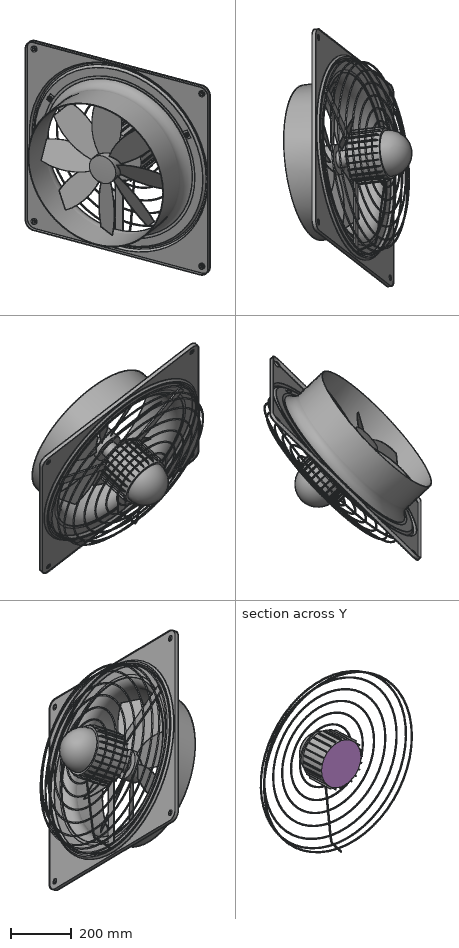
import cadquery as cq
import math


plate_side = 700.0
plate_depth = 14.0
plate_corner_radius = 31.5
sheet = 2.0
floor_front = plate_depth - sheet

bead_front_outer = 341.5
bead_front_inner = 322.0
bead_crest_outer = 335.0
bead_crest_inner = 330.0
bead_height = 8.5

duct_radius = 259.0
duct_wall = 3.0
duct_front = -137.0
bell_start = -33.0
bell_mid_radius = 269.0
bell_end_radius = 283.0
flange_radius = 292.5
flange_front = floor_front - sheet

corner_offset = 320.5
corner_boss_radius = 10.0
corner_boss_height = 7.0
corner_hole_radius = 5.0
screw_circle_radius = 302.5
screw_radius = 8.0
screw_height = 5.0
screw_socket_radius = 3.5

motor_radius = 85.0
motor_front = 14.0
motor_back = 134.0
dome_radius = 77.0
fin_count = 24
fin_radius = 91.0
fin_width = 3.0
fin_back = 130.0
fin_chamfer = 8.5

hub_radius = 50.5
hub_rim = -92.5
hub_crown = 3.0
hub_back = -43.5
shaft_radius = 28.0
blade_count = 8
blade_center = -66.0
blade_pitch = 29.0
blade_thickness = 2.0
blade_tip_radius = 240.0
blade_tip_width = 64.5
blade_mid_radius = 144.0
blade_mid_width = 86.0
blade_root_radius = 45.0
blade_root_width = 43.5

strut_angles = (30, 150, 270)
strut_width = 29.0
strut_thickness = 5.5
strut_reach = screw_circle_radius + screw_radius

wire_diameter = 4.0
side_rings = [(323.5, 29.5), (316.0, 54.0), (310.0, 78.0)]
face_ring_count = 5
face_ring_first = (283.0, 93.0)
face_ring_last = (110.0, 117.5)
rib_angle = 270
rib_bend = (306.5, 87.0)
rib_width = 4.0
rib_thickness = 3.0

AXIS_START = (0, 0, 0)
AXIS_END = (0, 1, 0)


def revolve(profile):
    """Turn a profile drawn as (radius, y) about the fan axis."""
    return profile.close().revolve(360, AXIS_START, AXIS_END)


def cylinder(radius, y_start, y_end, x=0.0, z=0.0):
    """Cylinder parallel to Y."""
    disc = cq.Workplane("XZ", origin=(x, y_start, z)).circle(radius)
    return disc.extrude(y_start - y_end)


def around_axis(shape, angle):
    return shape.rotate(AXIS_START, AXIS_END, -angle)


def polar(radius, angle):
    turn = math.radians(angle)
    return radius * math.cos(turn), radius * math.sin(turn)


def bead_solid(base):
    """Trapezoidal ring whose wide side lies at y = base and whose crest points backward."""
    crest = base + bead_height
    return revolve(
        cq.Workplane("XY")
        .moveTo(bead_front_inner, base)
        .lineTo(bead_crest_inner, crest)
        .lineTo(bead_crest_outer, crest)
        .lineTo(bead_front_outer, base)
    )


def make_plate():
    tray = cq.Workplane("XZ").rect(plate_side, plate_side).extrude(-plate_depth)
    tray = tray.edges("|Y").fillet(plate_corner_radius)
    tray = tray.faces("<Y").shell(-sheet)
    tray = tray.cut(cylinder(bell_end_radius, floor_front, plate_depth))
    return tray.union(bead_solid(plate_depth)).cut(bead_solid(floor_front))


def make_duct():
    inner = duct_radius - duct_wall
    return revolve(
        cq.Workplane("XY")
        .moveTo(duct_radius, duct_front)
        .lineTo(duct_radius, bell_start)
        .threePointArc((bell_mid_radius, 0), (bell_end_radius, flange_front))
        .lineTo(flange_radius, flange_front)
        .lineTo(flange_radius, floor_front)
        .lineTo(bell_end_radius, floor_front)
        .threePointArc((bell_mid_radius - duct_wall, sheet), (inner, bell_start))
        .lineTo(inner, duct_front)
    )


def make_motor():
    motor = cylinder(motor_radius, motor_front, motor_back)
    dome_mid = dome_radius * math.sqrt(0.5)
    dome = revolve(
        cq.Workplane("XY")
        .moveTo(0, motor_back)
        .lineTo(dome_radius, motor_back)
        .threePointArc((dome_mid, motor_back + dome_mid), (0, motor_back + dome_radius))
    )
    motor = motor.union(dome)
    fin = (
        cq.Workplane("XY")
        .moveTo(dome_radius, motor_front)
        .lineTo(fin_radius, motor_front)
        .lineTo(fin_radius, fin_back - fin_chamfer)
        .lineTo(fin_radius - fin_chamfer, fin_back)
        .lineTo(dome_radius, fin_back)
        .close()
        .extrude(fin_width / 2, both=True)
    )
    for i in range(fin_count):
        motor = motor.union(around_axis(fin, i * 360 / fin_count))
    return motor


def make_impeller():
    dome_sphere = (hub_radius**2 + hub_crown**2) / (2 * hub_crown)
    half = hub_radius / 2
    half_y = hub_rim - hub_crown + dome_sphere - math.sqrt(dome_sphere**2 - half**2)
    impeller = revolve(
        cq.Workplane("XY")
        .moveTo(0, hub_back)
        .lineTo(hub_radius, hub_back)
        .lineTo(hub_radius, hub_rim)
        .threePointArc((half, half_y), (0, hub_rim - hub_crown))
    )
    impeller = impeller.union(cylinder(shaft_radius, hub_back, motor_front))
    widen = 1 / math.cos(math.radians(blade_pitch))
    tip = blade_tip_width * widen / 2
    mid = blade_mid_width * widen / 2
    root = blade_root_width * widen / 2
    blade = (
        cq.Workplane("XZ")
        .moveTo(-root, blade_root_radius)
        .threePointArc((-mid, blade_mid_radius), (-tip, blade_tip_radius))
        .lineTo(tip, blade_tip_radius)
        .threePointArc((mid, blade_mid_radius), (root, blade_root_radius))
        .close()
        .extrude(blade_thickness / 2, both=True)
        .rotate((0, 0, 0), (0, 0, 1), blade_pitch)
        .translate((0, blade_center, 0))
    )
    for i in range(blade_count):
        impeller = impeller.union(around_axis(blade, i * 360 / blade_count))
    return impeller


def make_ring(radius, y):
    torus = cq.Solid.makeTorus(radius, wire_diameter / 2, cq.Vector(0, y, 0), cq.Vector(0, 1, 0))
    return cq.Workplane("XY").add(torus)


def face_ring(i):
    """Radius and y of face ring i, evenly spaced from rim to motor."""
    share = i / (face_ring_count - 1)
    radius = face_ring_first[0] + share * (face_ring_last[0] - face_ring_first[0])
    y = face_ring_first[1] + share * (face_ring_last[1] - face_ring_first[1])
    return radius, y


def make_rib():
    """Thin rib along +X from the motor, through the face rings and down to the plate."""
    path = [
        (motor_radius, face_ring_last[1]),
        face_ring_last,
        face_ring_first,
        rib_bend,
        side_rings[2],
        side_rings[0],
        (bead_crest_inner, plate_depth + bead_height - sheet / 2),
    ]
    strip = cq.Workplane("XY").polyline(path).offset2D(rib_thickness / 2)
    return strip.extrude(rib_width / 2, both=True)


def make_guard():
    guard = around_axis(make_rib(), rib_angle)
    for radius, y in side_rings:
        guard = guard.union(make_ring(radius, y))
    for i in range(face_ring_count):
        guard = guard.union(make_ring(*face_ring(i)))
    return guard


def make_struts():
    bar = (
        cq.Workplane("XZ", origin=(0, plate_depth, 0))
        .center(strut_reach / 2, 0)
        .rect(strut_reach, strut_width)
        .extrude(-strut_thickness)
    )
    struts = around_axis(bar, strut_angles[0])
    for angle in strut_angles[1:]:
        struts = struts.union(around_axis(bar, angle))
    return struts


def add_corner_bosses(body):
    boss_front = floor_front - corner_boss_height
    for x in (-corner_offset, corner_offset):
        for z in (-corner_offset, corner_offset):
            body = body.union(cylinder(corner_boss_radius, boss_front, floor_front, x, z))
            body = body.cut(cylinder(corner_hole_radius, boss_front, plate_depth, x, z))
    return body


def add_screws(body):
    head_front = floor_front - screw_height
    for angle in strut_angles:
        x, z = polar(screw_circle_radius, angle)
        body = body.union(cylinder(screw_radius, head_front, floor_front, x, z))
        body = body.cut(cylinder(screw_socket_radius, head_front, floor_front, x, z))
    return body


frame = add_screws(add_corner_bosses(make_plate().union(make_duct())))
fan = make_motor().union(make_impeller())
result = frame.union(make_struts()).union(fan).union(make_guard())